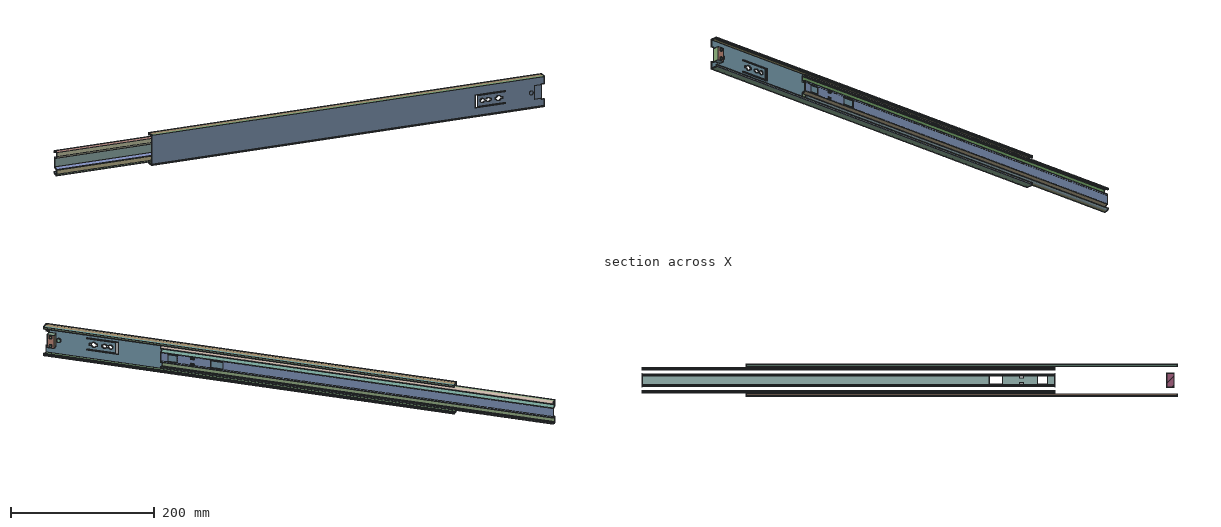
import cadquery as cq

rail_length = 600.0
rail_depth = 12.0
rail_height = 45.5
rail_sheet = 1.5
lip_drop = 4.0
lip_bend = 1.65
web_bend = 1.0

slide_length = 574.0
slide_travel = 144.5
slide_height = 36.5
slide_sheet = 1.65
slide_back_x = 10.0
band_x = 2.0
band_height = 16.0
wall_rise = 2.0
hook_x = 0.45
hook_end_z = 14.0
hook_drop = 3.4
hook_bend = 3.35
flange_bend = 2.0
step_start_x = 4.85
step_end_x = 7.1

cutout_depth = 4.5
cutout_height = 22.0
stop_length = 10.5
stop_height = 20.0
stop_x = 2.0
prong_x = 1.0
prong_diameter = 4.5
prong_spacing = 13.5
stud_diameter = 6.0
stud_rise = 2.0
stud_place = 19.0

tongue_start = 59.5
tongue_end = 106.0
tongue_height = 16.5
tongue_cut = 1.1
tongue_gap = 4.0

holes = [(70.0, 7.5), (85.5, 6.0), (94.5, 6.0)]
slot_height = 2.7
slot_ends = [(63.0, 75.0), (81.0, 97.5)]

window_height = 11.0
window_ends = [(10.5, 24.0), (73.0, 91.0)]
pin_slot_place = 46.0
pin_slot_length = 5.0
pin_slot_width = 2.0
pin_slot_spacing = 9.0

slide_start = -slide_travel
slide_rear = slide_start + slide_length


def block(x_range, y_range, z_range):
    """A box between the given limits."""
    corner = (x_range[0], y_range[0], z_range[0])
    size = [high - low for low, high in (x_range, y_range, z_range)]
    return cq.Workplane("XY").box(*size, centered=False).translate(corner)


def through_block(rear, near, far, height, z=0):
    """A box through the full depth, between two distances in front of a rear end."""
    return block((-rail_depth, 2 * rail_depth), (rear - far, rear - near), (z - height / 2, z + height / 2))


def rod(x_range, y, z, diameter):
    """A cylinder along X."""
    return (
        cq.Workplane("YZ", origin=(x_range[0], y, z))
        .circle(diameter / 2)
        .extrude(x_range[1] - x_range[0])
    )


def rail_channel():
    half = rail_height / 2
    inner_half = half - rail_sheet
    mouth_half = half - lip_drop
    length = (0, rail_length)
    channel = block((0, rail_depth), length, (-half, half))
    channel = channel.edges("|Y and <X").fillet(lip_bend)
    channel = channel.edges("|Y and >X").fillet(web_bend)
    inner_x = (rail_sheet, rail_depth - rail_sheet)
    channel = channel.cut(block(inner_x, length, (-inner_half, inner_half)))
    return channel.cut(block((0, rail_sheet), length, (-mouth_half, mouth_half)))


def rail_stop():
    """Block, two prongs and a stud that stand on the web next to the end cut-out."""
    web_x = rail_depth - rail_sheet / 2
    stop_rear = rail_length - cutout_depth
    stop_y = (stop_rear - stop_length, stop_rear)
    stop = block((stop_x, web_x), stop_y, (-stop_height / 2, stop_height / 2))
    for side in (-1, 1):
        prong_z = side * prong_spacing / 2
        stop = stop.union(rod((prong_x, web_x), stop_rear - stop_length / 2, prong_z, prong_diameter))
    stud_x = rail_depth - rail_sheet - stud_rise
    return stop.union(rod((stud_x, web_x), rail_length - stud_place, 0, stud_diameter))


def tongue_cuts():
    """Two long cuts and the end gap that free the tongue on three sides."""
    outer_height = tongue_height + 2 * tongue_cut
    cuts = through_block(rail_length, tongue_end - tongue_gap, tongue_end, outer_height)
    for side in (-1, 1):
        cut_z = side * (tongue_height + tongue_cut) / 2
        cuts = cuts.union(through_block(rail_length, tongue_start, tongue_end, tongue_cut, cut_z))
    return cuts


def screw_openings():
    openings = cq.Workplane("XY")
    for near, far in slot_ends:
        openings = openings.union(through_block(rail_length, near, far, slot_height))
    for place, diameter in holes:
        openings = openings.union(rod((0, 2 * rail_depth), rail_length - place, 0, diameter))
    return openings


def make_rail():
    cutout = through_block(rail_length, 0, cutout_depth, cutout_height)
    return rail_channel().cut(cutout).cut(tongue_cuts()).cut(screw_openings()).union(rail_stop())


def slide_section():
    """Sheet section extruded along the slide, then bent edges rounded."""
    top = slide_height / 2
    foot_x = slide_back_x - slide_sheet
    band_half = band_height / 2
    foot_z = band_half + wall_rise
    hook_top_z = hook_end_z + hook_drop
    under_hook_z = hook_top_z - slide_sheet
    half = [
        (band_x + slide_sheet, band_half - slide_sheet),
        (slide_back_x, foot_z - slide_sheet),
        (slide_back_x, top),
        (step_end_x, top),
        (step_start_x, hook_top_z),
        (hook_x, hook_top_z),
        (hook_x, hook_end_z),
        (hook_x + slide_sheet, hook_end_z),
        (hook_x + slide_sheet, under_hook_z),
        (foot_x, under_hook_z),
        (foot_x, foot_z),
        (band_x, band_half),
    ]
    mirrored = [(x, -z) for x, z in reversed(half)]
    section = cq.Workplane("XZ", origin=(0, slide_rear, 0)).polyline(half + mirrored).close()
    slide = section.extrude(slide_length)
    slide = slide.edges("|Y and (>Z or <Z)").edges(">X").fillet(flange_bend)
    middle_y = slide_rear - slide_length / 2
    for side in (-1, 1):
        outer_corner = (hook_x, middle_y, side * hook_top_z)
        inner_corner = (hook_x + slide_sheet, middle_y, side * under_hook_z)
        for corner, radius in ((outer_corner, hook_bend), (inner_corner, hook_bend - slide_sheet)):
            slide = slide.edges(cq.selectors.NearestToPointSelector(corner)).fillet(radius)
    return slide


def make_slide():
    slide = slide_section()
    for near, far in window_ends:
        slide = slide.cut(through_block(slide_rear, near, far, window_height))
    pin_slot_near = pin_slot_place - pin_slot_length / 2
    pin_slot_far = pin_slot_place + pin_slot_length / 2
    for side in (-1, 1):
        slot_z = side * pin_slot_spacing / 2
        slide = slide.cut(through_block(slide_rear, pin_slot_near, pin_slot_far, pin_slot_width, slot_z))
    return slide


rail = make_rail()
slide = make_slide()
result = cq.Compound.makeCompound([rail.val(), slide.val()])